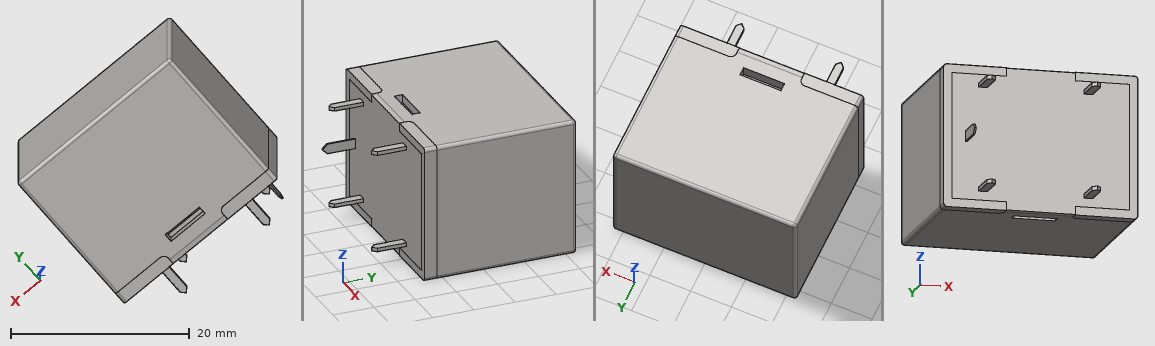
import cadquery as cq
import math

CASE_WIDTH = 22.5
CASE_HEIGHT = 16.5
TOTAL_DEPTH = 22.5
PIN_LENGTH = 4.0
CASE_DEPTH = TOTAL_DEPTH - PIN_LENGTH
EDGE_RADIUS = 0.4

RIM_THICKNESS = 1.0
RIM_DEPTH = 1.5
RIM_CORNER_RADIUS = 0.7

TONGUE_WIDTH = 7.99
TAPER_LENGTH = 0.63
TAPER_ANGLE = 5.4

WINDOW_WIDTH = 5.0
WINDOW_LENGTH = 1.0
WINDOW_START = 2.15
WINDOW_WALL = RIM_THICKNESS
RAMP_SIZE = 0.5

CONTACT_X_POSITIONS = (-6.7, 5.5)
CONTACT_Z_OFFSET = 6.0
CONTACT_WIDTH = 1.0
CONTACT_THICKNESS = 0.45

COIL_PIN_X = -8.65
COIL_PIN_WIDTH = 1.2
COIL_PIN_THICKNESS = 0.2


def make_envelope():
    """Full outer block of the case with its rounded edges."""
    block = cq.Workplane("XY").box(CASE_WIDTH, CASE_DEPTH, CASE_HEIGHT, centered=(True, False, True))
    return block.edges("|Y or >Y").fillet(EDGE_RADIUS)


def make_rim(side):
    """C-shaped rim piece at the -X (side = -1) or +X (side = 1) end of the case."""
    inner_x = side * TONGUE_WIDTH / 2
    outer_x = side * CASE_WIDTH / 2
    strip = (
        cq.Workplane("XY")
        .moveTo(inner_x, 0)
        .lineTo(outer_x, 0)
        .lineTo(outer_x, RIM_DEPTH)
        .lineTo(inner_x + side * RIM_CORNER_RADIUS, RIM_DEPTH)
        .radiusArc((inner_x, RIM_DEPTH - RIM_CORNER_RADIUS), -side * RIM_CORNER_RADIUS)
        .close()
        .extrude(CASE_HEIGHT / 2, both=True)
    )
    core = cq.Workplane("XY").box(
        CASE_WIDTH - 2 * RIM_THICKNESS,
        RIM_DEPTH,
        CASE_HEIGHT - 2 * RIM_THICKNESS,
        centered=(True, False, True),
    )
    return strip.cut(core).intersect(make_envelope())


def make_tongue_taper():
    """Thin wedge removed from the +Z tongue surface next to the mounting face."""
    top = CASE_HEIGHT / 2
    drop = TAPER_LENGTH * math.tan(math.radians(TAPER_ANGLE))
    return (
        cq.Workplane("YZ")
        .polyline([(0, top), (TAPER_LENGTH, top), (0, top - drop)])
        .close()
        .extrude(TONGUE_WIDTH / 2, both=True)
    )


def make_latch_window():
    """Pocket in the +Z wall: upright sides, then a ramp going down to a flat floor."""
    top = CASE_HEIGHT / 2
    ramp_top = top - WINDOW_WALL
    floor = ramp_top - RAMP_SIZE
    far_edge = WINDOW_START + WINDOW_LENGTH
    return (
        cq.Workplane("YZ")
        .polyline([
            (WINDOW_START, top),
            (far_edge, top),
            (far_edge, ramp_top),
            (far_edge - RAMP_SIZE, floor),
            (WINDOW_START, floor),
        ])
        .close()
        .extrude(WINDOW_WIDTH / 2, both=True)
    )


def make_blade(width, thickness):
    """Blade along -Y, its width along X, with a 45 degree pointed tip."""
    half_width = width / 2
    shoulder = -(PIN_LENGTH - half_width)
    return (
        cq.Workplane("XY")
        .polyline([
            (-half_width, 0),
            (-half_width, shoulder),
            (0, -PIN_LENGTH),
            (half_width, shoulder),
            (half_width, 0),
        ])
        .close()
        .extrude(thickness / 2, both=True)
    )


def make_case(rims):
    """Case with its tongues, latch windows and pins, leaving room for the rim pieces."""
    case = make_envelope()
    for rim in rims:
        case = case.cut(rim)

    for wall_cut in (make_tongue_taper(), make_latch_window()):
        case = case.cut(wall_cut).cut(wall_cut.mirror("XY"))

    contact_pin = make_blade(CONTACT_WIDTH, CONTACT_THICKNESS)
    for x in CONTACT_X_POSITIONS:
        for z in (-CONTACT_Z_OFFSET, CONTACT_Z_OFFSET):
            case = case.union(contact_pin.translate((x, 0, z)))

    coil_pin = make_blade(COIL_PIN_WIDTH, COIL_PIN_THICKNESS).rotate((0, 0, 0), (0, 1, 0), 90)
    return case.union(coil_pin.translate((COIL_PIN_X, 0, 0)))


rims = [make_rim(side) for side in (-1, 1)]
case = make_case(rims)

result = cq.Compound.makeCompound([case.solids().val(), *[rim.solids().val() for rim in rims]])